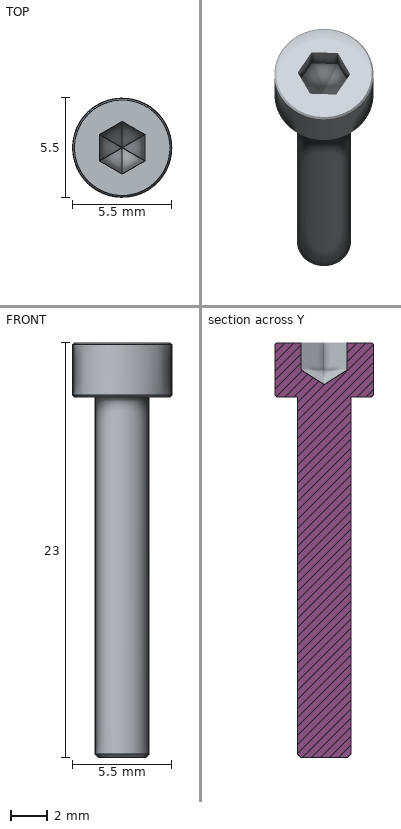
import cadquery as cq
import math

thread_diameter = 3.0
shank_length = 20.0
tip_chamfer = 0.2
head_diameter = 5.5
head_height = thread_diameter
head_chamfer = 0.1

key_width = 2.52
socket_depth = thread_diameter / 2
floor_depth = 0.8
side_count = 6

corner_radius = key_width / 2 / math.cos(math.pi / side_count)
rim_height = head_height - socket_depth


def make_head():
    head = cq.Workplane("XY").circle(head_diameter / 2).extrude(head_height)
    return head.faces("<Z or >Z").edges().chamfer(head_chamfer)


def make_shank():
    shank = cq.Workplane("XY").circle(thread_diameter / 2).extrude(-shank_length)
    return shank.faces("<Z").edges().chamfer(tip_chamfer)


def hexagon_corners(height):
    """Corners of the socket hexagon at the given height, two of them on the Y axis."""
    corners = []
    for i in range(side_count):
        angle = math.pi / 2 + i * 2 * math.pi / side_count
        corners.append(cq.Vector(corner_radius * math.cos(angle), corner_radius * math.sin(angle), height))
    return corners


def make_socket():
    """Solid to cut away: a hexagonal prism ending in a six-sided point."""
    mouth = hexagon_corners(head_height)
    rim = hexagon_corners(rim_height)
    point = cq.Vector(0, 0, rim_height - floor_depth)

    outlines = [mouth]
    for i in range(side_count):
        j = (i + 1) % side_count
        outlines.append([mouth[i], mouth[j], rim[j], rim[i]])
        outlines.append([rim[i], rim[j], point])
    faces = [cq.Face.makeFromWires(cq.Wire.makePolygon(outline, close=True)) for outline in outlines]
    return cq.Workplane(obj=cq.Solid.makeSolid(cq.Shell.makeShell(faces)))


result = make_head().union(make_shank()).cut(make_socket())